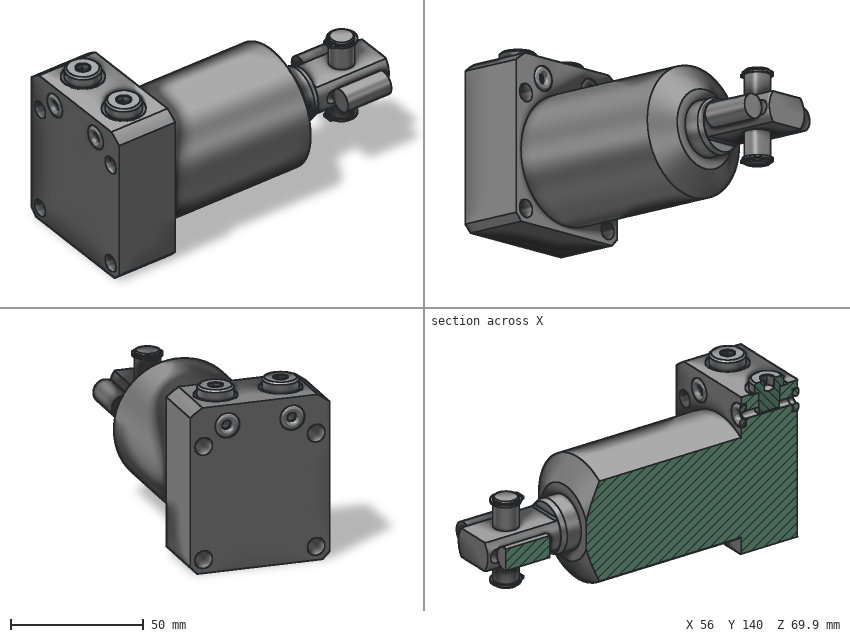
import cadquery as cq
import math


block_width = 56.0
block_depth = 26.2
block_top = 38.0
block_bottom = -28.0
top_corner_radius = 44.4
bottom_corner_chamfer = 3.0
bolt_hole_diameter = 7.0
bolt_hole_pitch = 45.1

barrel_radius = 25.5
barrel_root_chamfer_length = 0.8
barrel_root_chamfer_height = 0.1
cone_start = 91.3
cone_end = 97.3
cone_end_radius = 15.4
neck_radius = 11.0
neck_chamfer_start = 103.7
neck_end = 106.0
neck_end_radius = 10.2

rod_radius = 10.0
rod_end = 139.3
rod_end_chamfer_length = 1.0
rod_end_chamfer_height = 0.3
rod_flat_height = 6.0
rod_flat_root_chamfer = 0.8

pin_station = 124.2
pin_radius = 5.0
pin_half_length = 18.2
pin_chamfer = 0.5
ring_thickness = 0.8
ring_inner_height = 16.2
ring_radius = 5.9
ring_offset = 0.21
ring_lug_reach = 6.7
ring_lug_root_width = 5.9
ring_lug_tip_width = 4.2
ring_lug_gap = 0.5
ring_eye_diameter = 0.8
ring_eye_spacing = 2.4
ring_eye_reach = 6.0

roller_radius = 4.8
roller_offset = 13.3
roller_length = 20.3
pocket_centre_length = 21.3

port_offset = 13.0
port_station = block_depth / 2
passage_height = 29.8
passage_radius = 2.0
spot_face_radius = 8.4
spot_face_depth = 0.4

plug_head_radius = 7.0
plug_head_top = 41.9
plug_head_chamfer = 0.8
plug_shank_radius = 4.9
plug_shank_bottom = 28.7
socket_across_flats = 4.9
socket_depth = 4.2
socket_mouth_radius = 3.0
socket_mouth_depth = 0.3
socket_cone_angle = 120.0
socket_turn = 30.0

seal_section_radius = 1.5
seal_mean_radius = 3.4
seal_protrusion = 0.7
seal_centre_depth = seal_section_radius - seal_protrusion
gland_depth = seal_centre_depth + seal_section_radius
gland_radius = seal_mean_radius + seal_section_radius

SIDES = (-1, 1)


def cylinder_along_y(radius, length, x, y, z):
    """Cylinder that starts at (x, y, z) and runs toward +Y."""
    return cq.Workplane(cq.Solid.makeCylinder(radius, length, cq.Vector(x, y, z), cq.Vector(0, 1, 0)))


def cylinder_along_z(radius, length, x, y, z):
    """Cylinder that starts at (x, y, z) and runs toward +Z."""
    return cq.Workplane(cq.Solid.makeCylinder(radius, length, cq.Vector(x, y, z)))


def make_block():
    """Mounting block with round top corners, chamfered bottom corners and four bolt holes."""
    height = block_top - block_bottom
    block = cq.Workplane("XY").box(block_width, block_depth, height, centered=(True, False, False))
    block = block.translate((0, 0, block_bottom)).edges("|Y and <Z").chamfer(bottom_corner_chamfer)
    block = block.intersect(cylinder_along_y(top_corner_radius, block_depth, 0, 0, 0))
    for x_side in SIDES:
        for z_side in SIDES:
            x = x_side * bolt_hole_pitch / 2
            z = z_side * bolt_hole_pitch / 2
            block = block.cut(cylinder_along_y(bolt_hole_diameter / 2, block_depth, x, 0, z))
    return block


def cut_ports(block):
    """Cut the plug bores, their spot faces, the cross passages and the seal glands."""
    bore_length = block_top - plug_shank_bottom
    spot_floor = block_top - spot_face_depth
    for side in SIDES:
        x = side * port_offset
        bore = cylinder_along_z(plug_shank_radius, bore_length, x, port_station, plug_shank_bottom)
        block = block.cut(bore)
        block = block.cut(cylinder_along_z(spot_face_radius, spot_face_depth, x, port_station, spot_floor))
        block = block.cut(cylinder_along_y(passage_radius, block_depth, x, 0, passage_height))
        for gland_start in (0, block_depth - gland_depth):
            block = block.cut(cylinder_along_y(gland_radius, gland_depth, x, gland_start, passage_height))
    return block


def make_barrel():
    """Round barrel, cone and chamfered neck, turned about the Y axis."""
    profile = [
        (0, block_depth),
        (barrel_radius - barrel_root_chamfer_height, block_depth),
        (barrel_radius, block_depth + barrel_root_chamfer_length),
        (barrel_radius, cone_start),
        (cone_end_radius, cone_end),
        (neck_radius, cone_end),
        (neck_radius, neck_chamfer_start),
        (neck_end_radius, neck_end),
        (0, neck_end),
    ]
    return cq.Workplane("XY").polyline(profile).close().revolve(360, (0, 0, 0), (0, 1, 0))


def make_pocket(x):
    """Round-ended tool shape for the pocket behind one roller."""
    start = pin_station - pocket_centre_length / 2
    pocket = cylinder_along_y(roller_radius, pocket_centre_length, x, start, 0)
    for end in (start, start + pocket_centre_length):
        pocket = pocket.union(cq.Workplane("XY").sphere(roller_radius).translate((x, end, 0)))
    return pocket


def make_rod():
    """Rod end with two flats, two side pockets and a roller in each pocket."""
    round_profile = [
        (0, neck_end),
        (rod_radius, neck_end),
        (rod_radius, rod_end - rod_end_chamfer_length),
        (rod_radius - rod_end_chamfer_height, rod_end),
        (0, rod_end),
    ]
    rod = cq.Workplane("XY").polyline(round_profile).close().revolve(360, (0, 0, 0), (0, 1, 0))
    root_height = rod_flat_height + rod_flat_root_chamfer
    flat_profile = [
        (neck_end, -root_height),
        (neck_end, root_height),
        (neck_end + rod_flat_root_chamfer, rod_flat_height),
        (rod_end, rod_flat_height),
        (rod_end, -rod_flat_height),
        (neck_end + rod_flat_root_chamfer, -rod_flat_height),
    ]
    rod = rod.intersect(cq.Workplane("YZ").polyline(flat_profile).close().extrude(rod_radius, both=True))
    for side in SIDES:
        x = side * roller_offset
        rod = rod.cut(make_pocket(x))
        roller_start = pin_station - roller_length / 2
        rod = rod.union(cylinder_along_y(roller_radius, roller_length, x, roller_start, 0))
    return rod


def make_retaining_ring(bottom):
    """Retaining ring whose two lugs, each with an eye, point toward -Y."""
    ring = cq.Workplane("XY").center(0, ring_offset).circle(ring_radius).extrude(ring_thickness)
    lug_outline = [
        (-ring_lug_root_width / 2, -pin_radius),
        (-ring_lug_tip_width / 2, -ring_lug_reach),
        (ring_lug_tip_width / 2, -ring_lug_reach),
        (ring_lug_root_width / 2, -pin_radius),
        (0, 0),
    ]
    lugs = cq.Workplane("XY").polyline(lug_outline).close().extrude(ring_thickness)
    gap = cq.Workplane("XY").rect(ring_lug_gap, 2 * ring_lug_reach).extrude(ring_thickness)
    gap = gap.translate((0, -ring_lug_reach, 0))
    eyes = cq.Workplane("XY").pushPoints([(side * ring_eye_spacing / 2, -ring_eye_reach) for side in SIDES])
    eyes = eyes.circle(ring_eye_diameter / 2).extrude(ring_thickness)
    return ring.union(lugs).cut(gap).cut(eyes).translate((0, pin_station, bottom))


def make_pin():
    """Cross pin along Z with chamfered ends and a retaining ring near each end."""
    pin = cylinder_along_z(pin_radius, 2 * pin_half_length, 0, pin_station, -pin_half_length)
    pin = pin.faces("<Z or >Z").chamfer(pin_chamfer)
    for bottom in (ring_inner_height, -ring_inner_height - ring_thickness):
        pin = pin.union(make_retaining_ring(bottom))
    return pin


def make_clamp_cylinder():
    """Main body: block, barrel, rod end and pin in one piece."""
    return cut_ports(make_block()).union(make_barrel()).union(make_rod()).union(make_pin())


def make_plug(x):
    """Plug with a chamfered head and a countersunk hexagon socket that ends in a drill cone."""
    head_bottom = block_top - spot_face_depth
    head = cylinder_along_z(plug_head_radius, plug_head_top - head_bottom, 0, 0, head_bottom)
    head = head.faces(">Z").chamfer(plug_head_chamfer)
    shank = cylinder_along_z(plug_shank_radius, head_bottom - plug_shank_bottom, 0, 0, plug_shank_bottom)
    corner_diameter = socket_across_flats / math.cos(math.pi / 6)
    socket_floor = plug_head_top - socket_depth
    socket = cq.Workplane("XY").polygon(6, corner_diameter).extrude(socket_depth)
    socket = socket.rotate((0, 0, 0), (0, 0, 1), socket_turn).translate((0, 0, socket_floor))
    cone_radius = socket_across_flats / 2
    cone_depth = cone_radius / math.tan(math.radians(socket_cone_angle / 2))
    cone = cq.Solid.makeCone(cone_radius, 0, cone_depth, cq.Vector(0, 0, socket_floor), cq.Vector(0, 0, -1))
    mouth_start = cq.Vector(0, 0, plug_head_top - socket_mouth_depth)
    mouth = cq.Solid.makeCone(cone_radius, socket_mouth_radius, socket_mouth_depth, mouth_start)
    plug = head.union(shank).cut(socket).cut(cq.Workplane(cone)).cut(cq.Workplane(mouth))
    return plug.translate((x, port_station, 0))


def make_seal(x, y):
    """O-ring around a cross passage."""
    centre = cq.Vector(x, y, passage_height)
    return cq.Workplane(cq.Solid.makeTorus(seal_mean_radius, seal_section_radius, centre, cq.Vector(0, 1, 0)))


clamp_cylinder = make_clamp_cylinder()
plugs = [make_plug(side * port_offset) for side in SIDES]
seals = []
for side in SIDES:
    for seal_y in (seal_centre_depth, block_depth - seal_centre_depth):
        seals.append(make_seal(side * port_offset, seal_y))

result = cq.Compound.makeCompound(
    [clamp_cylinder.val(), *[plug.val() for plug in plugs], *[seal.val() for seal in seals]]
)